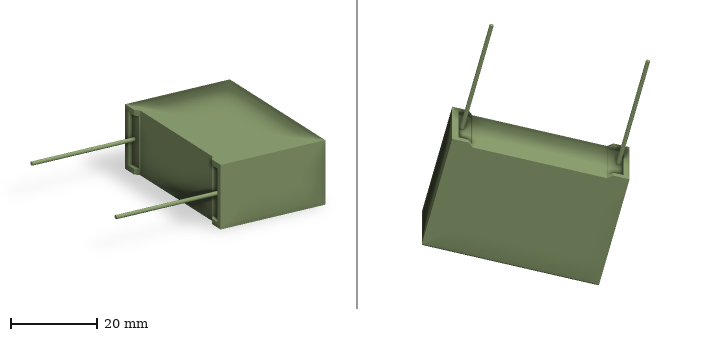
import cadquery as cq

case_width = 42.5
case_depth = 28.8
case_height = 16.3
back_edge_radius = 0.5

foot_height = 1.0
foot_width = 3.9
foot_slope_width = 1.2

wall = 1.45
pocket_inner_edge = 4.9
pocket_depth = foot_height

lead_diameter = 1.0
lead_pitch = 37.5
overall_depth = 55.8

foot_face_y = -case_depth
step_face_y = foot_face_y + foot_height
pocket_floor_y = foot_face_y + pocket_depth
lead_length = overall_depth - case_depth + pocket_depth
sides = (-1, 1)


def make_case():
    """Rounded-back block with sloped feet and an open pocket in each foot."""
    half_width = case_width / 2
    foot_edge_x = half_width - foot_width
    step_edge_x = foot_edge_x - foot_slope_width
    case = (
        cq.Workplane("XY")
        .moveTo(-half_width, 0)
        .lineTo(half_width, 0)
        .lineTo(half_width, foot_face_y)
        .lineTo(foot_edge_x, foot_face_y)
        .lineTo(step_edge_x, step_face_y)
        .lineTo(-step_edge_x, step_face_y)
        .lineTo(-foot_edge_x, foot_face_y)
        .lineTo(-half_width, foot_face_y)
        .close()
        .extrude(case_height / 2, both=True)
        .faces(">Y")
        .edges()
        .fillet(back_edge_radius)
    )
    pocket_width = pocket_inner_edge - wall
    pocket_center_x = half_width - wall - pocket_width / 2
    for side in sides:
        pocket = cq.Workplane("XY").box(pocket_width, pocket_depth, case_height - 2 * wall)
        pocket_center_y = foot_face_y + pocket_depth / 2
        case = case.cut(pocket.translate((side * pocket_center_x, pocket_center_y, 0)))
    return case.solids()


def make_lead(side):
    """Straight wire running in -Y from a pocket floor."""
    return (
        cq.Workplane("XZ", origin=(side * lead_pitch / 2, pocket_floor_y, 0))
        .circle(lead_diameter / 2)
        .extrude(lead_length)
    )


case = make_case()
leads = [make_lead(side) for side in sides]

result = cq.Compound.makeCompound([case.val(), *[lead.val() for lead in leads]])